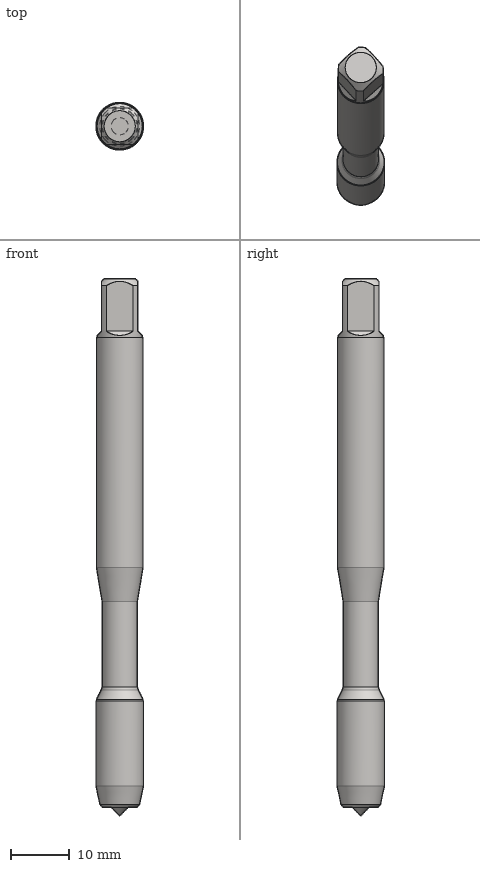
import cadquery as cq
import math

total_length = 91.55

head_diameter = 8.15
head_length = 19.6
lead_height = 5.1
lead_bottom = 1.9
lead_bottom_diameter = 6.8
nose_height = 1.5
nose_diameter = 5.9
point_angle = 90.0

shank_diameter = 8.0
neck_diameter = 6.0
collar_diameter = shank_diameter
collar_top = 19.9
shoulder_diameter = 6.4
shoulder_height = 21.4
neck_bottom = 22.0
neck_top = 36.5
shank_bottom = 42.3
shank_top = 81.5

drive_diameter = 7.7
drive_across_flats = 6.2
drive_end_diameter = 5.3
flat_bottom = 82.6
run_out_angle = 44.0
drive_chamfer = (drive_diameter - drive_end_diameter) / 2


def revolve_profile(points):
    """Revolve a closed outline of (radius, height) points about Z."""
    return cq.Workplane("XZ").polyline(points).close().revolve(360, (0, 0), (0, 1))


def make_head():
    """Threaded cutting head with a tapered lead and a conical point."""
    point_radius = nose_height * math.tan(math.radians(point_angle / 2))
    return revolve_profile([
        (0, 0),
        (point_radius, nose_height),
        (nose_diameter / 2, nose_height),
        (lead_bottom_diameter / 2, lead_bottom),
        (head_diameter / 2, lead_height),
        (head_diameter / 2, head_length),
        (0, head_length),
    ])


def make_flat_cutter():
    """Material beyond the +X flat, ending below in a sloped run-out."""
    flat_offset = drive_across_flats / 2
    outer_offset = shank_diameter / 2
    run_out_drop = (outer_offset - flat_offset) * math.tan(math.radians(run_out_angle))
    return (
        cq.Workplane("XZ")
        .polyline([
            (flat_offset, total_length),
            (flat_offset, flat_bottom),
            (outer_offset, flat_bottom - run_out_drop),
            (outer_offset, total_length),
        ])
        .close()
        .extrude(shank_diameter / 2, both=True)
    )


def make_shank():
    """Shank with a reduced neck below and a square drive on top."""
    shank = revolve_profile([
        (0, head_length),
        (collar_diameter / 2, head_length),
        (collar_diameter / 2, collar_top),
        (shoulder_diameter / 2, shoulder_height),
        (neck_diameter / 2, neck_bottom),
        (neck_diameter / 2, neck_top),
        (shank_diameter / 2, shank_bottom),
        (shank_diameter / 2, shank_top),
        (drive_diameter / 2, shank_top),
        (drive_diameter / 2, total_length - drive_chamfer),
        (drive_end_diameter / 2, total_length),
        (0, total_length),
    ])
    flat_cutter = make_flat_cutter()
    for angle in (0, 90, 180, 270):
        shank = shank.cut(flat_cutter.rotate((0, 0, 0), (0, 0, 1), angle))
    return shank


head = make_head()
shank = make_shank()

result = cq.Compound.makeCompound([head.val(), shank.val()])